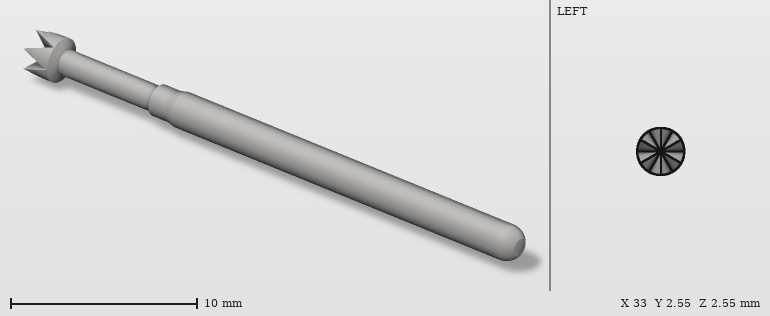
import cadquery as cq
import math

total_length = 33.02

crown_diameter = 2.55
tooth_count = 6
center_depth = 0.85
valley_depth = 1.72
crown_rim_end = 1.75
crown_end = 2.05

plunger_diameter = 1.5

collar_diameter = 1.8
collar_start = 8.4
collar_end = 9.48
barrel_diameter = 2.05
barrel_start = 9.97
tail_length = 0.9


def turned_body():
    """Revolve the stepped half profile about the X axis."""
    crown_r = crown_diameter / 2
    plunger_r = plunger_diameter / 2
    collar_r = collar_diameter / 2
    barrel_r = barrel_diameter / 2
    tail_start = total_length - tail_length
    tail_flat_r = math.sqrt(barrel_r**2 - tail_length**2)
    tail_mid_x = tail_length / 2
    tail_mid_r = math.sqrt(barrel_r**2 - tail_mid_x**2)
    profile = (
        cq.Workplane("XY")
        .lineTo(0, crown_r)
        .lineTo(crown_rim_end, crown_r)
        .lineTo(crown_end, plunger_r)
        .lineTo(collar_start, plunger_r)
        .lineTo(collar_start, collar_r)
        .lineTo(collar_end, collar_r)
        .lineTo(barrel_start, barrel_r)
        .lineTo(tail_start, barrel_r)
        .threePointArc((tail_start + tail_mid_x, tail_mid_r), (total_length, tail_flat_r))
        .lineTo(total_length, 0)
        .close()
    )
    return profile.revolve(360, (0, 0, 0), (1, 0, 0))


def triangle(a, b, c):
    return cq.Face.makeFromWires(cq.Wire.makePolygon([a, b, c], close=True))


def crown_cutter():
    """Star-shaped solid in front of the teeth, extended radially past the rim."""
    overshoot = 1.3
    reach = overshoot * crown_diameter / 2
    tip_x = center_depth * (1 - overshoot)
    valley_x = center_depth + (valley_depth - center_depth) * overshoot
    center = cq.Vector(center_depth, 0, 0)
    front_center = cq.Vector(tip_x, 0, 0)

    def rim_point(x, step):
        angle = math.radians(90 + step * 360 / tooth_count)
        return cq.Vector(x, reach * math.cos(angle), reach * math.sin(angle))

    faces = []
    for tooth in range(tooth_count):
        tip = rim_point(tip_x, tooth)
        valley = rim_point(valley_x, tooth + 0.5)
        next_tip = rim_point(tip_x, tooth + 1)
        faces.append(triangle(center, tip, valley))
        faces.append(triangle(center, valley, next_tip))
        faces.append(triangle(tip, next_tip, valley))
        faces.append(triangle(front_center, next_tip, tip))
    return cq.Workplane(cq.Solid.makeSolid(cq.Shell.makeShell(faces)))


result = turned_body().cut(crown_cutter())